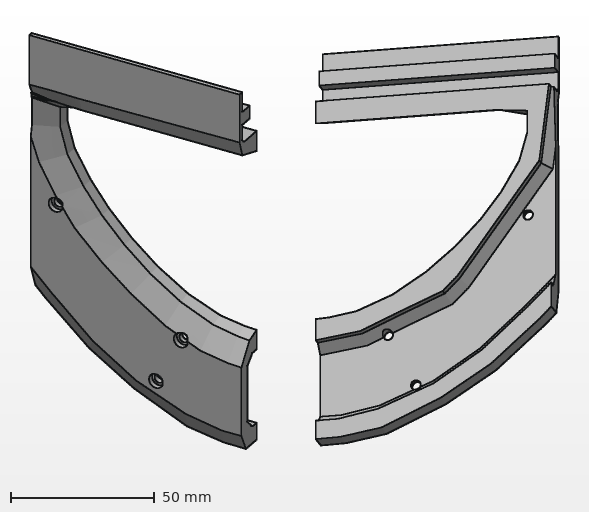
import cadquery as cq

LENGTH = 84.2
HEIGHT = 143.8
DEPTH = 12.1
OVERRUN = 7.2

RAIL_THICKNESS = 2.0
RAIL_TAPER = 0.3
RIB_TOP = 135.9
RIB_BOTTOM = 130.7
RIB_BACK = 7.2
BAR_TOP = 123.3
BAR_CORNER_BEVEL = 1.2
BAR_FRONT_TOP = 124.6
BAR_FRONT_BOTTOM = 118.5
BAR_FRONT_Y = 2.0
BAR_BACK_BOTTOM = 115.3

GUARD_FRONT = 1.3
OUTER_BEVEL_BACK = 4.5
INNER_BEVEL_BACK = 6.9
POCKET_FLOOR = 5.6
POCKET_CHAMFER = 3.5

OUTER_EDGE = [(0, 42.0), (3.9, 38.1), (21.5, 22.7), (39.5, 11.6), (60.7, 2.5), (75.3, 0.1), (LENGTH, 0)]
OUTER_CREST = [(0, 50.7), (8.5, 42.5), (24.9, 28.0), (42.1, 17.1), (62.0, 9.3), (76.3, 6.8), (LENGTH, 6.8)]
INNER_EDGE = [
    (8.6, 114.1), (8.6, 106.2), (11.5, 96.0), (18.0, 85.1), (25.3, 75.6), (34.4, 66.3),
    (44.7, 57.6), (56.8, 49.9), (69.7, 44.4), (79.5, 42.5), (LENGTH, 42.1),
]
INNER_CREST = [
    (-1.5, 118.6), (-1.5, 107.1), (3.3, 93.5), (9.9, 82), (17.5, 71.2), (28.5, 60.5),
    (40.1, 51.2), (53.8, 42.3), (67.9, 36.2), (78.8, 34.4), (LENGTH, 34.0),
]
INNER_DRAFT = 1.7
CORNER_X = 20.0

CORNER_RELIEF = [
    (0, 2.2, 120.0),
    (8.3, 3.5, 117.9),
    (CORNER_X, BAR_FRONT_Y, BAR_FRONT_BOTTOM),
]

POCKET_WALL = [(0.9, BAR_TOP), (4.3, 95.6), (33.5, 55.8), (38.8, 50.6), (54.5, 44.1), (68.3, 38.2), (LENGTH, 36.1)]

HOLE_CENTERS = [(9.9, 78.2), (60.0, 38.1), (50.0, 19.1)]
HOLE_DIAMETER = 3.5
COUNTERBORE_DIAMETER = 5.5
COUNTERBORE_FLOOR = 3.5


def ruled_solid(sections):
    """Ruled solid through (Y, outline) sections whose outlines have equal corner counts."""
    wires = []
    for y, outline in sections:
        corners = [cq.Vector(x, y, z) for x, z in outline]
        wires.append(cq.Wire.makePolygon(corners, close=True))
    return cq.Workplane(cq.Solid.makeLoft(wires, True))


def prism(outline, y_front, y_back):
    """Extrude an (X, Z) outline from y_front to y_back."""
    return cq.Workplane("XZ", origin=(0, y_back, 0)).polyline(outline).close().extrude(y_back - y_front)


def make_rail():
    """Plate with its rear rib and the bar below, one profile along X."""
    profile = [
        (0, HEIGHT),
        (RAIL_THICKNESS, HEIGHT),
        (RAIL_THICKNESS, RIB_TOP),
        (RIB_BACK, RIB_TOP),
        (RIB_BACK, RIB_BOTTOM),
        (RAIL_THICKNESS, RIB_BOTTOM),
        (RAIL_THICKNESS, BAR_TOP + BAR_CORNER_BEVEL),
        (RAIL_THICKNESS + BAR_CORNER_BEVEL, BAR_TOP),
        (DEPTH, BAR_TOP),
        (DEPTH, BAR_BACK_BOTTOM),
        (BAR_FRONT_Y, BAR_FRONT_BOTTOM),
        (0, BAR_FRONT_TOP),
    ]
    rail = cq.Workplane("YZ").polyline(profile).close().extrude(LENGTH)
    taper = (
        cq.Workplane("XY", origin=(0, 0, BAR_FRONT_BOTTOM))
        .polyline([(0, 0), (LENGTH, 0), (0, RAIL_TAPER)]).close()
        .extrude(HEIGHT - BAR_FRONT_BOTTOM)
    )
    return rail.cut(taper)


def make_guard_blank():
    """Guard without its opening: bevelled outer edge, square at the back."""
    top = [(LENGTH, BAR_FRONT_BOTTOM), (0, BAR_FRONT_BOTTOM)]
    front = ruled_solid([(GUARD_FRONT, OUTER_CREST + top), (OUTER_BEVEL_BACK, OUTER_EDGE + top)])
    return front.union(prism(OUTER_EDGE + top, OUTER_BEVEL_BACK, DEPTH))


def make_opening():
    """Void inside the guard: a wide front bevel, then a slightly drafted wall."""
    def section(curve, bar_z):
        end_z = curve[-1][1]
        far_x = LENGTH + OVERRUN
        return curve + [(far_x, end_z), (far_x, bar_z), (CORNER_X, bar_z)]

    drop = (BAR_FRONT_BOTTOM - BAR_BACK_BOTTOM) / (DEPTH - BAR_FRONT_Y)

    def bar_underside(y):
        return BAR_FRONT_BOTTOM - drop * (y - BAR_FRONT_Y)

    back_edge = [(x, z + INNER_DRAFT * (x / LENGTH) ** 2) for x, z in INNER_EDGE]
    front = section(INNER_CREST, BAR_FRONT_TOP)
    middle = section(INNER_EDGE, bar_underside(INNER_BEVEL_BACK))
    back = section(back_edge, bar_underside(DEPTH))
    bevel = ruled_solid([(GUARD_FRONT, front), (INNER_BEVEL_BACK, middle)])
    wall = ruled_solid([(INNER_BEVEL_BACK, middle), (DEPTH, back)])
    return bevel.union(wall)


def make_pocket():
    """Rear pocket between the outer rim and the inner wall, with a 45 degree floor edge."""
    far_x = LENGTH + OVERRUN
    top_x = POCKET_WALL[0][0]
    top_z = BAR_TOP + POCKET_CHAMFER
    outline = (
        [(-OVERRUN, OUTER_CREST[0][1] + OVERRUN)]
        + OUTER_CREST
        + [(far_x, OUTER_CREST[-1][1]), (far_x, POCKET_WALL[-1][1])]
        + POCKET_WALL[::-1]
        + [(top_x, top_z), (-OVERRUN, top_z)]
    )
    return prism(outline, POCKET_FLOOR, DEPTH).faces("<Y").chamfer(POCKET_CHAMFER)


def make_corner_relief():
    """Wedge whose sloping back falls from the bar's front edge into the opening's corner."""
    wires = []
    for x, y, z in CORNER_RELIEF:
        section = [(-OVERRUN, BAR_FRONT_TOP), (-OVERRUN, z), (y, z), (0, BAR_FRONT_TOP)]
        wires.append(cq.Wire.makePolygon([cq.Vector(x, v, w) for v, w in section], close=True))
    return cq.Workplane(cq.Solid.makeLoft(wires, True))


def make_holes():
    """Through holes counterbored from the front."""
    drills = cq.Workplane("XZ", origin=(0, DEPTH, 0)).pushPoints(HOLE_CENTERS)
    bores = cq.Workplane("XZ", origin=(0, COUNTERBORE_FLOOR, 0)).pushPoints(HOLE_CENTERS)
    through = drills.circle(HOLE_DIAMETER / 2).extrude(DEPTH)
    counterbores = bores.circle(COUNTERBORE_DIAMETER / 2).extrude(COUNTERBORE_FLOOR)
    return through.union(counterbores)


guard = make_guard_blank().cut(make_opening())
body = make_rail().union(guard).cut(make_corner_relief())
result = body.cut(make_pocket()).cut(make_holes())